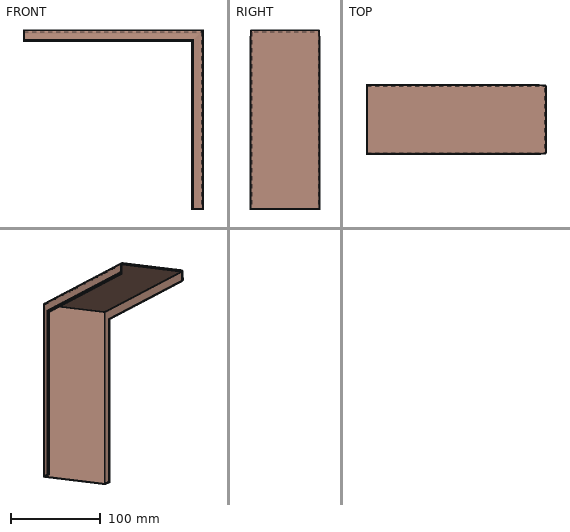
import cadquery as cq

arm_length = 200.0
channel_width = 77.5
channel_depth = 12.5

plate_thickness = 1.8
inner_half_width = 37.0
edge_radius = 2.0
flare_per_side = 0.5
flare_start_depth = 4.5

land_height = 0.5
bevel_height = 1.0
bevel_width = 1.0
toe_height = 0.5

widest_half_width = channel_width / 2
shoulder_half_width = widest_half_width - flare_per_side
toe_half_width = widest_half_width - bevel_width
toe_start_depth = channel_depth - toe_height
bevel_start_depth = toe_start_depth - bevel_height
flare_end_depth = bevel_start_depth - land_height


def half_profile():
    """Half of the section: Y is measured from the middle plane, Z = 0 is the outer face."""
    return (
        cq.Workplane("YZ")
        .lineTo(shoulder_half_width - edge_radius, 0)
        .tangentArcPoint((edge_radius, -edge_radius))
        .lineTo(shoulder_half_width, -flare_start_depth)
        .lineTo(widest_half_width, -flare_end_depth)
        .lineTo(widest_half_width, -bevel_start_depth)
        .lineTo(toe_half_width, -toe_start_depth)
        .lineTo(toe_half_width, -channel_depth)
        .lineTo(inner_half_width, -channel_depth)
        .lineTo(inner_half_width, -plate_thickness)
        .lineTo(0, -plate_thickness)
        .close()
    )


def mitred_arm():
    """Horizontal arm along -X, cut at 45 degrees where it meets the vertical arm."""
    half_arm = half_profile().extrude(-arm_length)
    arm = half_arm.union(half_arm.mirror("XZ"))
    mitre_waste = (
        cq.Workplane("XZ")
        .polyline([(0, 0), (-channel_depth, -channel_depth), (0, -channel_depth)])
        .close()
        .extrude(channel_width, both=True)
    )
    return arm.cut(mitre_waste)


horizontal_arm = mitred_arm()
vertical_arm = horizontal_arm.mirror(cq.Vector(1, 0, -1))
result = horizontal_arm.union(vertical_arm).clean()